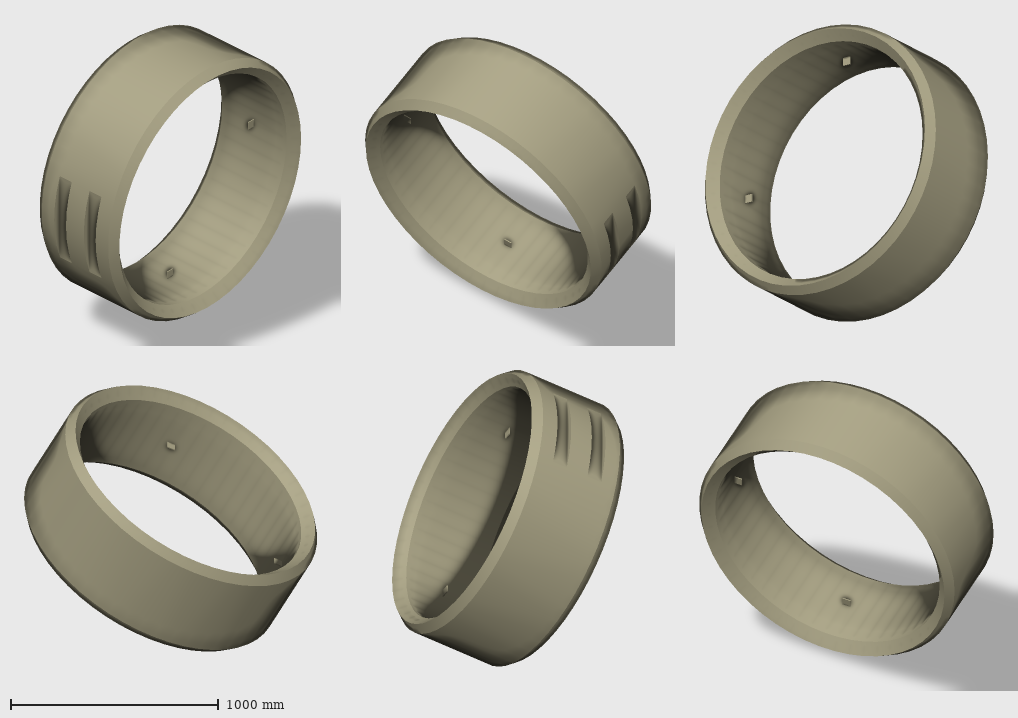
import cadquery as cq

ring_length = 518.74
outer_radius = 682.5
bore_radius = 599.75
rim_radius = 649.25

outer_bevel_length = 43.5
inner_bevel_length = rim_radius - bore_radius

slot_width = 77.0
slot_spacing = 193.0
slot_depth = 41.0

lug_count = 4
lug_width = 40.0
lug_height = 40.5
lug_thickness = 5.0
lug_root = 5.0


def make_ring():
    """Revolve the six-sided wall section about the X axis."""
    end_x = ring_length / 2
    outer_x = end_x - outer_bevel_length
    inner_x = end_x - inner_bevel_length
    section = [
        (-end_x, rim_radius),
        (-outer_x, outer_radius),
        (outer_x, outer_radius),
        (end_x, rim_radius),
        (inner_x, bore_radius),
        (-inner_x, bore_radius),
    ]
    profile = cq.Workplane("XY").polyline(section).close()
    return profile.revolve(360, (0, 0, 0), (1, 0, 0))


def make_slot_cutter(center_x):
    """Block that cuts one slot down to a flat floor facing -Y."""
    block = cq.Workplane("XY").box(slot_width, 2 * slot_depth, 2 * outer_radius)
    return block.translate((center_x, -outer_radius, 0))


def make_lug(angle):
    """One lug on the -X side of the mid-plane, turned about the ring axis from the +Z position."""
    total_height = lug_height + lug_root
    center_z = bore_radius + lug_root - total_height / 2
    block = cq.Workplane("XY").box(lug_thickness, lug_width, total_height)
    return block.translate((-lug_thickness / 2, 0, center_z)).rotate((0, 0, 0), (1, 0, 0), angle)


result = make_ring()

for side in (-1, 1):
    result = result.cut(make_slot_cutter(side * slot_spacing / 2))

for index in range(lug_count):
    result = result.union(make_lug(index * 360 / lug_count))